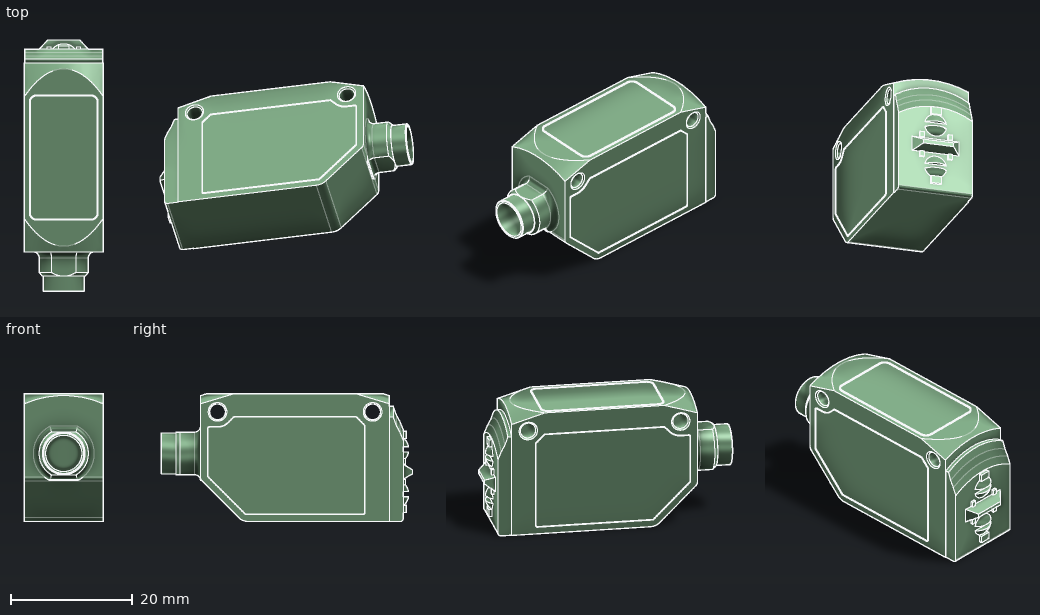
import cadquery as cq
import math

OVERLAP = 0.4

width = 13.0
height = 21.0
length = 31.0
slope_corner = 6.95
slope_top_radius = 1.0
slope_bottom_radius = 2.27

bevel_drop_middle = 0.3
bevel_drop_side = 1.65
bevel_run_side = 5.55

hole_z = 18.0
hole_front_y = 2.8
hole_back_y = 28.25
hole_radius = 1.3
hole_rim_radius = 1.53

groove_depth = 0.12
top_panel_width = 11.3
top_panel_length = 20.55
top_panel_radius = 1.25
top_groove_width = 0.15
side_panel_margin = 1.15
side_panel_back_y = 27.0
side_panel_top_z = 17.25
side_panel_slope_sum = 8.55
side_panel_corner_radius = 0.35
side_panel_clearance = 2.45
side_groove_width = 0.1

connector_z = 11.2
collar_radius = 4.05
collar_flat = 3.5
collar_length = 3.35
collar_taper_end = 3.95
flare_radius = 0.95
tube_radius = 3.4
tube_end = 6.5
bore_radius = 2.97
bore_depth = 4.95
rim_chamfer = 0.105

cap_width = 12.8
cap_dome_drop = 1.8
cap_bottom_radius = 0.55
cap_length = 2.27
cap_crown = [(0, 18.95), (0.6, 18.95), (1.1, 17.6), (1.75, 16.45), (cap_length, 15.1)]

controls_z = 8.18
dial_spacing = 7.35
dial_radius = 1.9
dial_rise = 0.9
dial_slot = 0.83
knob_rise = 1.53
knob_base = (8.1, 2.48)
knob_tip = (5.2, 0.65)
end_mark_size = (1.75, 1.25)
end_mark_offset = 2.4
end_mark_rise = 0.5
side_mark_size = (0.7, 0.9)
side_mark_x = 2.45
side_mark_offset = 2.0
side_mark_rise = 0.37

cap_back_y = length + cap_length


def make_housing():
    body = (
        cq.Workplane("YZ")
        .moveTo(0, slope_corner)
        .lineTo(slope_corner, 0)
        .lineTo(length, 0)
        .lineTo(length, height)
        .lineTo(0, height)
        .close()
        .extrude(width / 2, both=True)
    )
    body = body.edges(cq.NearestToPointSelector((0, 0, slope_corner))).fillet(slope_top_radius)
    return body.edges(cq.NearestToPointSelector((0, slope_corner, 0))).fillet(slope_bottom_radius)


def make_bevel_cutter():
    """Everything above a cylinder that slopes up from the connector face."""
    tilt = math.atan2(bevel_drop_side, bevel_run_side)
    dome_drop = (bevel_drop_side - bevel_drop_middle) * math.cos(tilt)
    half = width / 2
    dome_radius = (half**2 + dome_drop**2) / (2 * dome_drop)
    plane = cq.Plane(
        origin=(0, 0, height - bevel_drop_middle),
        xDir=(1, 0, 0),
        normal=(0, -math.cos(tilt), -math.sin(tilt)),
    )
    cutter_size = 2 * width
    core = cq.Workplane(plane).center(0, -dome_radius).circle(dome_radius).extrude(width, both=True)
    upper = cq.Workplane(plane).center(0, cutter_size / 2 - dome_drop - OVERLAP)
    upper = upper.rect(cutter_size, cutter_size).extrude(width, both=True)
    return upper.cut(core)


def cut_bevels(body):
    front = make_bevel_cutter()
    back = front.mirror("XZ", (0, length / 2, 0))
    return body.cut(front).cut(back)


def cut_cross_holes(body):
    rim = hole_rim_radius - hole_radius
    for y in (hole_front_y, hole_back_y):
        profile = [
            (0, 0),
            (0, width / 2),
            (hole_rim_radius, width / 2),
            (hole_radius, width / 2 - rim),
            (hole_radius, 0),
        ]
        half = cq.Workplane("YX", origin=(0, y, hole_z)).polyline(profile).close()
        half = half.revolve(360, (0, 0, 0), (0, 1, 0))
        body = body.cut(half).cut(half.mirror("YZ"))
    return body


def cut_top_groove(body):
    plane = cq.Workplane("XY", origin=(0, length / 2, height - groove_depth))

    def panel(inset):
        sketch = plane.rect(top_panel_width - 2 * inset, top_panel_length - 2 * inset)
        block = sketch.extrude(groove_depth + OVERLAP)
        return block.edges("|Z").fillet(top_panel_radius - inset)

    return body.cut(panel(0).cut(panel(top_groove_width)))


def side_panel_outline(plane):
    """Panel outline that keeps clear of both cross holes."""
    diagonal = math.sqrt(0.5)
    clear = side_panel_clearance
    top = side_panel_top_z
    front_sum = hole_front_y - hole_z + clear / diagonal
    back_sum = hole_back_y + hole_z - clear / diagonal
    low = side_panel_margin
    arc_middle = math.radians(67.5)
    return (
        plane.moveTo(low, hole_z - clear)
        .lineTo(low, side_panel_slope_sum - low)
        .lineTo(side_panel_slope_sum - low, low)
        .lineTo(side_panel_back_y, low)
        .lineTo(side_panel_back_y, back_sum - side_panel_back_y)
        .lineTo(back_sum - top, top)
        .lineTo(front_sum + top, top)
        .lineTo(hole_front_y + clear * diagonal, hole_z - clear * diagonal)
        .threePointArc(
            (hole_front_y + clear * math.cos(arc_middle), hole_z - clear * math.sin(arc_middle)),
            (hole_front_y, hole_z - clear),
        )
        .close()
    )


def cut_side_grooves(body):
    plane = cq.Workplane("YZ", origin=(width / 2 - groove_depth, 0, 0))
    depth = groove_depth + OVERLAP
    back_corner = (width / 2, side_panel_back_y, side_panel_margin)
    front_corner = (width / 2, side_panel_margin, hole_z - side_panel_clearance)

    def rounded(panel, radius):
        for corner in (back_corner, front_corner):
            edge = cq.NearestToPointSelector(corner)
            panel = panel.edges("|X").edges(edge).fillet(radius)
        return panel

    outer = side_panel_outline(plane).extrude(depth)
    inner = side_panel_outline(plane).offset2D(-side_groove_width).extrude(depth)
    ring = rounded(outer, side_panel_corner_radius)
    ring = ring.cut(rounded(inner, side_panel_corner_radius - side_groove_width))
    return body.cut(ring).cut(ring.mirror("YZ"))


def make_flared_profile(plane, half_width):
    """Half profile of the collar: concave flare at the face, then a straight side."""
    bend = flare_radius * (1 - math.sqrt(0.5))
    return (
        plane.moveTo(0, flare_radius)
        .lineTo(half_width + flare_radius, flare_radius)
        .lineTo(half_width + flare_radius, 0)
        .threePointArc((half_width + bend, -bend), (half_width, -flare_radius))
    )


def make_connector():
    plane = cq.Workplane("XY", origin=(0, 0, connector_z))
    collar = (
        make_flared_profile(plane, collar_radius)
        .lineTo(collar_radius, -collar_length)
        .lineTo(collar_flat, -collar_taper_end)
        .lineTo(0, -collar_taper_end)
        .close()
        .revolve(360, (0, 0, 0), (0, 1, 0))
    )
    flat_plane = cq.Workplane(cq.Plane(origin=(0, 0, connector_z), xDir=(0, 0, 1), normal=(-1, 0, 0)))
    flats = (
        make_flared_profile(flat_plane, collar_flat)
        .lineTo(collar_flat, -collar_taper_end)
        .lineTo(0, -collar_taper_end)
        .close()
        .extrude(width, both=True)
    )
    flats = flats.union(flats.mirror("XY", (0, 0, connector_z)))
    within_housing = (
        cq.Workplane("YZ")
        .moveTo(-collar_taper_end, 0)
        .lineTo(0, 0)
        .lineTo(0, slope_corner)
        .lineTo(flare_radius, slope_corner - flare_radius)
        .lineTo(flare_radius, height)
        .lineTo(-collar_taper_end, height)
        .close()
        .extrude(width, both=True)
    )
    collar = collar.intersect(flats).intersect(within_housing)
    tube = cq.Workplane("XZ", origin=(0, 0, connector_z)).circle(tube_radius).extrude(tube_end)
    tube = tube.faces("<Y").edges().chamfer(rim_chamfer)
    return collar.union(tube)


def cut_bore(body):
    bore_plane = cq.Workplane("XZ", origin=(0, -tube_end + bore_depth, connector_z))
    return body.cut(bore_plane.circle(bore_radius).extrude(bore_depth))


def make_cap():
    """Straight-ruled body through domed sections of falling height."""
    half = cap_width / 2
    sections = []
    for depth, crown in cap_crown:
        outline = (
            cq.Workplane("XZ", origin=(0, length + depth, 0))
            .moveTo(-half, 0)
            .lineTo(half, 0)
            .lineTo(half, crown - cap_dome_drop)
            .threePointArc((0, crown), (-half, crown - cap_dome_drop))
            .close()
        )
        sections.append(outline.val())
    cap = cq.Workplane(cq.Solid.makeLoft(sections, True))
    bounds = cq.Workplane("XY").box(width, 2 * cap_length, height, centered=(True, True, False))
    bounds = bounds.faces(">Y").edges("<Z").fillet(cap_bottom_radius)
    return cap.intersect(bounds.translate((0, length, 0)))


def cap_block(x, z, size, rise):
    """Rectangular mark standing on the back of the cap."""
    block = cq.Workplane("XY").box(size[0], rise + OVERLAP, size[1], centered=(True, False, True))
    return block.translate((x, cap_back_y - OVERLAP, z))


def make_dial(z):
    sphere_radius = (dial_radius**2 + dial_rise**2) / (2 * dial_rise)
    sphere = cq.Workplane("XY").sphere(sphere_radius)
    sphere = sphere.translate((0, cap_back_y + dial_rise - sphere_radius, z))
    across = 3 * dial_radius
    zone = cap_block(0, z, (across, across), dial_rise)
    slot = cap_block(0, z, (across, dial_slot), dial_rise)
    return sphere.intersect(zone).cut(slot)


def make_knob():
    plane = cq.Workplane("XZ", origin=(0, cap_back_y, controls_z))
    base = plane.rect(*knob_base)
    return base.workplane(offset=-knob_rise).rect(*knob_tip).loft(ruled=True)


def add_controls(body):
    body = body.union(make_knob())
    for side in (-1, 1):
        dial_z = controls_z + side * dial_spacing / 2
        body = body.union(make_dial(dial_z))
        end_z = dial_z + side * end_mark_offset
        body = body.union(cap_block(0, end_z, end_mark_size, end_mark_rise))
        mark_z = dial_z - side * side_mark_offset
        for x in (-side_mark_x, side_mark_x):
            body = body.union(cap_block(x, mark_z, side_mark_size, side_mark_rise))
    return body


housing = cut_cross_holes(cut_bevels(make_housing()))
housing = cut_side_grooves(cut_top_groove(housing))
result = cut_bore(housing.union(make_connector()))
result = add_controls(result.union(make_cap()))